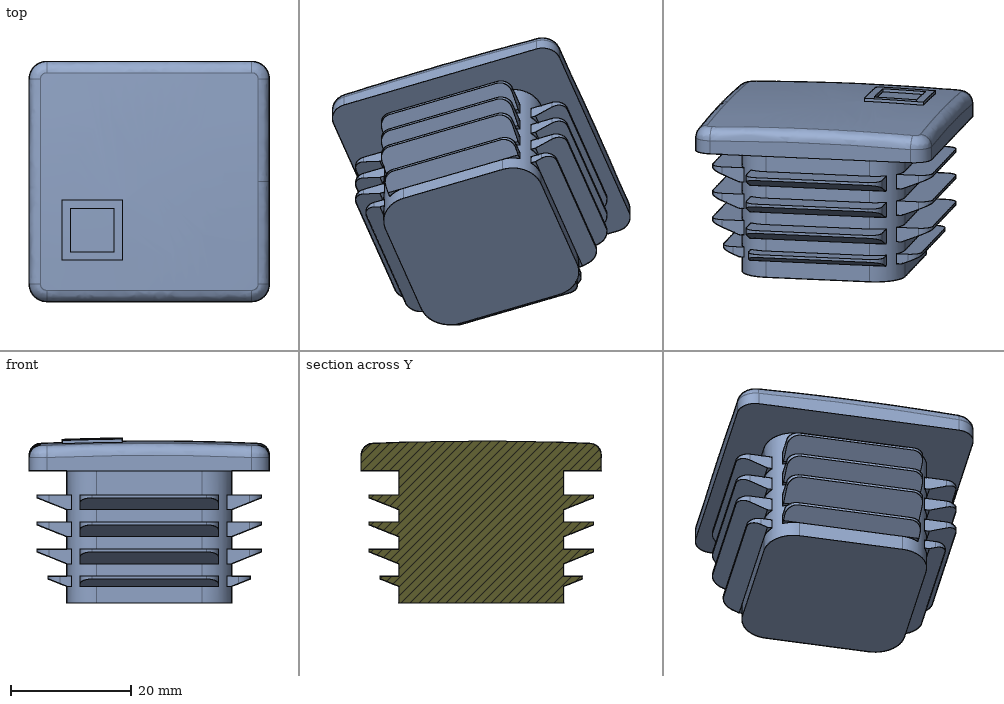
import cadquery as cq

cap_side = 40.0
cap_corner_radius = 3.0
cap_edge_fillet = 2.0
cap_bottom = 22.0
cap_peak = 27.0
dome_radius = 400.0

frame_outer = 10.0
frame_inner = 7.2
frame_center = (-9.5, -8.1)
frame_height = 0.5

plug_side = 27.5
plug_corner_radius = 5.0

fin_length = 23.0
fin_corner_radius = 2.0
fin_tip_thickness = 0.5
fin_underside_slope = 0.4
top_fin_height = 18.0
fin_levels = 4
full_fin_span = 37.35
lowest_fin_span = 33.7

plug_half = plug_side / 2
fin_pitch = top_fin_height / fin_levels


def dome(peak):
    """Ball whose topmost point lies on the part axis at the given height."""
    return cq.Workplane("XY").sphere(dome_radius).translate((0, 0, peak - dome_radius))


def make_cap():
    """Rounded square plate with a domed top and a filleted upper rim."""
    block = (
        cq.Workplane("XY")
        .workplane(offset=cap_bottom)
        .rect(cap_side, cap_side)
        .extrude(cap_peak - cap_bottom)
        .edges("|Z")
        .fillet(cap_corner_radius)
    )
    return block.intersect(dome(cap_peak)).faces(">Z").edges().fillet(cap_edge_fillet)


def make_frame():
    """Square frame whose top runs parallel to the dome."""
    frame_top = cap_peak + frame_height
    frame = (
        cq.Workplane("XY")
        .workplane(offset=cap_bottom)
        .center(*frame_center)
        .rect(frame_outer, frame_outer)
        .rect(frame_inner, frame_inner)
        .extrude(frame_top - cap_bottom)
    )
    return frame.intersect(dome(frame_top))


def make_plug():
    """Solid square plug with rounded corners."""
    return (
        cq.Workplane("XY")
        .rect(plug_side, plug_side)
        .extrude(cap_bottom)
        .edges("|Z")
        .fillet(plug_corner_radius)
    )


def make_fin_pair(span, top):
    """Two opposite fins along X, joined through the plug, flat on top and tapering to the tips."""
    tip = span / 2
    tip_bottom = top - fin_tip_thickness
    root_bottom = tip_bottom - fin_underside_slope * (tip - plug_half)
    profile = [
        (-tip, top),
        (tip, top),
        (tip, tip_bottom),
        (plug_half, root_bottom),
        (-plug_half, root_bottom),
        (-tip, tip_bottom),
    ]
    wedge = cq.Workplane("XZ").polyline(profile).close().extrude(fin_length / 2, both=True)
    plan = (
        cq.Workplane("XY")
        .rect(span, fin_length)
        .extrude(cap_bottom)
        .edges("|Z")
        .fillet(fin_corner_radius)
    )
    return wedge.intersect(plan)


plug = make_plug()
for level in range(fin_levels):
    fin_span = lowest_fin_span if level == 0 else full_fin_span
    fins = make_fin_pair(fin_span, top=(level + 1) * fin_pitch)
    plug = plug.union(fins).union(fins.rotate((0, 0, 0), (0, 0, 1), 90))

result = plug.union(make_cap()).union(make_frame())